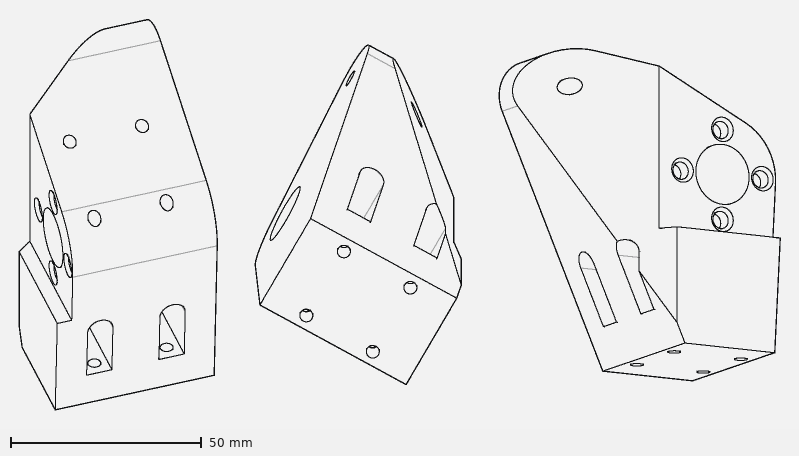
import cadquery as cq
import math


body_depth = 40.0
base_half_width = 13.5
bore_height = 47.0
bore_shoulder_radius = 16.0
pivot_offset = 34.63
pivot_height = 70.6
pivot_nose_radius = 10.0

foot_height = 30.8
foot_overhang = 4.0
full_depth = body_depth + foot_overhang

slant_angle = 38.0
slant_pivot_depth = 20.0

bore_diameter = 16.0
pivot_hole_diameter = 4.4
screw_circle_radius = 12.0
screw_hole_diameter = 4.6
screw_hole_depth = 5.0
screw_countersink_diameter = 6.5
screw_countersink_depth = 1.0
drill_point_angle = 118.0

bolt_diameter = 3.4
bolt_x_positions = (-10.0, 10.0)
bolt_y_positions = (-12.0, -32.0)
slot_width = 7.0
slot_floor = 10.0
slot_straight_height = 15.0

cutter_size = 200.0

pivot = (-pivot_offset, pivot_height)
bore = (0.0, bore_height)


def point_on_circle(center, radius, angle):
    return (center[0] + radius * math.cos(angle), center[1] + radius * math.sin(angle))


def direction(start, end):
    return math.atan2(end[1] - start[1], end[0] - start[0])


def extruded_profile(depth):
    """XZ outline of two tangent rounds over a flat base, extruded forward from Y = 0."""
    base_left = (-base_half_width, 0.0)
    base_right = (base_half_width, 0.0)

    left_angle = direction(pivot, base_left) - math.acos(pivot_nose_radius / math.dist(pivot, base_left))
    radius_change = pivot_nose_radius - bore_shoulder_radius
    top_angle = direction(pivot, bore) + math.acos(radius_change / math.dist(pivot, bore))
    right_angle = direction(bore, base_right) + math.acos(bore_shoulder_radius / math.dist(bore, base_right))

    nose_middle_angle = (left_angle + 2 * math.pi + top_angle) / 2
    shoulder_middle_angle = (top_angle + right_angle) / 2
    return (
        cq.Workplane("XZ")
        .moveTo(*base_left)
        .lineTo(*point_on_circle(pivot, pivot_nose_radius, left_angle))
        .threePointArc(
            point_on_circle(pivot, pivot_nose_radius, nose_middle_angle),
            point_on_circle(pivot, pivot_nose_radius, top_angle),
        )
        .lineTo(*point_on_circle(bore, bore_shoulder_radius, top_angle))
        .threePointArc(
            point_on_circle(bore, bore_shoulder_radius, shoulder_middle_angle),
            point_on_circle(bore, bore_shoulder_radius, right_angle),
        )
        .lineTo(*base_right)
        .close()
        .extrude(depth)
    )


def body_with_foot():
    foot_envelope = (
        cq.Workplane("XY")
        .rect(cutter_size, cutter_size)
        .extrude(foot_height)
    )
    foot = extruded_profile(full_depth).intersect(foot_envelope)
    return extruded_profile(body_depth).union(foot)


def slanted_cutter():
    """Block whose +X face is the slanted plane, turned about a vertical line on the pivot axis."""
    return (
        cq.Workplane("XY")
        .box(cutter_size, cutter_size, cutter_size, centered=(False, True, True))
        .translate((-cutter_size, 0, 0))
        .rotate((0, 0, 0), (0, 0, 1), slant_angle)
        .translate((-pivot_offset, -slant_pivot_depth, 0))
    )


def hole_along_y(center, diameter):
    return (
        cq.Workplane("XZ")
        .center(*center)
        .circle(diameter / 2)
        .extrude(full_depth)
    )


def screw_hole(center):
    """Countersunk blind hole with a drill point, entering the front face of the body."""
    radius = screw_hole_diameter / 2
    point_depth = radius / math.tan(math.radians(drill_point_angle / 2))
    return (
        cq.Workplane("XY")
        .moveTo(0, -body_depth)
        .lineTo(screw_countersink_diameter / 2, -body_depth)
        .lineTo(radius, -body_depth + screw_countersink_depth)
        .lineTo(radius, -body_depth + screw_hole_depth)
        .lineTo(0, -body_depth + screw_hole_depth + point_depth)
        .close()
        .revolve(360, (0, 0), (0, 1))
        .translate((center[0], 0, center[1]))
    )


def bolt_hole(x, y):
    return (
        cq.Workplane("XY")
        .center(x, y)
        .circle(bolt_diameter / 2)
        .extrude(cutter_size)
    )


def round_topped_slot(y):
    half_width = slot_width / 2
    arc_start = slot_floor + slot_straight_height
    return (
        cq.Workplane("YZ")
        .moveTo(y - half_width, slot_floor)
        .lineTo(y + half_width, slot_floor)
        .lineTo(y + half_width, arc_start)
        .threePointArc((y, arc_start + half_width), (y - half_width, arc_start))
        .close()
        .extrude(cutter_size / 2, both=True)
    )


result = body_with_foot().cut(slanted_cutter())
result = result.cut(hole_along_y(bore, bore_diameter))
result = result.cut(hole_along_y(pivot, pivot_hole_diameter))

for quarter_turn in range(4):
    screw_center = point_on_circle(bore, screw_circle_radius, quarter_turn * math.pi / 2)
    result = result.cut(screw_hole(screw_center))

for bolt_y in bolt_y_positions:
    result = result.cut(round_topped_slot(bolt_y))
    for bolt_x in bolt_x_positions:
        result = result.cut(bolt_hole(bolt_x, bolt_y))